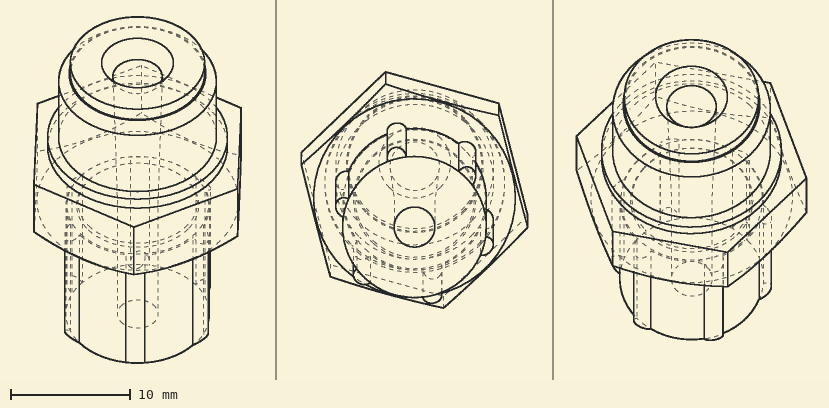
import cadquery as cq
import math

TOTAL_HEIGHT = 28.8
GRIP_TOP = 12.5
HEX_BOTTOM = 13.0
HEX_TOP = 19.25
COLLAR_TOP = 20.28
TAPER_BOTTOM = 26.73
TAPER_TOP = 27.62

HEX_ACROSS_FLATS = 17.0
HEX_ACROSS_CORNERS = HEX_ACROSS_FLATS / math.cos(math.pi / 6)
HEX_FACE_DIAMETER = 16.82
HEX_CHAMFER_ANGLE = math.radians(30)
ENVELOPE_MARGIN = 0.58

COLLAR_DIAMETER = 15.0
SHANK_DIAMETER = 13.15
TAPER_TOP_DIAMETER = 11.4
NOSE_DIAMETER = 11.2

GRIP_DIAMETER = 11.98
RIB_COUNT = 6
RIB_RADIUS = 0.8
GRIP_TOP_EDGE = 0.1

NECK_DIAMETER = 10.0
NECK_TOP_DIAMETER = 10.6
NECK_BOTTOM_DIAMETER = 10.2
NECK_WAIST_HEIGHT = 12.6

BORE_DIAMETER = 3.4
BORE_TAPER_DIAMETER = 4.12
MOUTH_DIAMETER = 6.0
MOUTH_DEPTH = 1.55
BORE_TAPER_END = HEX_BOTTOM


def revolve(profile):
    """Turn a closed radius-height profile about the Z axis."""
    return profile.close().revolve(360, (0, 0, 0), (0, 1, 0))


def make_grip():
    """Cylinder with half-round ribs, bevelled at 45 degrees at both ends."""
    grip_radius = GRIP_DIAMETER / 2
    outer_radius = grip_radius + RIB_RADIUS + ENVELOPE_MARGIN
    top_radius = grip_radius - GRIP_TOP_EDGE
    grip = cq.Workplane("XY").circle(grip_radius).extrude(GRIP_TOP)
    ribs = (
        cq.Workplane("XY")
        .polarArray(grip_radius, 90, 360, RIB_COUNT)
        .circle(RIB_RADIUS)
        .extrude(GRIP_TOP)
    )
    envelope = revolve(
        cq.Workplane("XZ")
        .lineTo(grip_radius, 0)
        .lineTo(outer_radius, outer_radius - grip_radius)
        .lineTo(outer_radius, GRIP_TOP - (outer_radius - top_radius))
        .lineTo(top_radius, GRIP_TOP)
        .lineTo(0, GRIP_TOP)
    )
    return grip.union(ribs).intersect(envelope)


def make_hexagon():
    """Hexagon whose lower corners are cut by a cone."""
    face_radius = HEX_FACE_DIAMETER / 2
    outer_radius = HEX_ACROSS_CORNERS / 2 + ENVELOPE_MARGIN
    cone_height = (outer_radius - face_radius) * math.tan(HEX_CHAMFER_ANGLE)
    hexagon = (
        cq.Workplane("XY")
        .workplane(offset=HEX_BOTTOM)
        .transformed(rotate=(0, 0, 90))
        .polygon(6, HEX_ACROSS_CORNERS)
        .extrude(HEX_TOP - HEX_BOTTOM)
    )
    envelope = revolve(
        cq.Workplane("XZ")
        .moveTo(0, HEX_BOTTOM)
        .lineTo(face_radius, HEX_BOTTOM)
        .lineTo(outer_radius, HEX_BOTTOM + cone_height)
        .lineTo(outer_radius, HEX_TOP)
        .lineTo(0, HEX_TOP)
    )
    return hexagon.intersect(envelope)


def make_spindle():
    """Turned core from the neck up through the hexagon to the nose."""
    return revolve(
        cq.Workplane("XZ")
        .moveTo(0, GRIP_TOP)
        .lineTo(NECK_BOTTOM_DIAMETER / 2, GRIP_TOP)
        .threePointArc(
            (NECK_DIAMETER / 2, NECK_WAIST_HEIGHT),
            (NECK_TOP_DIAMETER / 2, HEX_BOTTOM),
        )
        .lineTo(NECK_TOP_DIAMETER / 2, HEX_TOP)
        .lineTo(COLLAR_DIAMETER / 2, HEX_TOP)
        .lineTo(COLLAR_DIAMETER / 2, COLLAR_TOP)
        .lineTo(SHANK_DIAMETER / 2, COLLAR_TOP)
        .lineTo(SHANK_DIAMETER / 2, TAPER_BOTTOM)
        .lineTo(TAPER_TOP_DIAMETER / 2, TAPER_TOP)
        .lineTo(NOSE_DIAMETER / 2, TAPER_TOP)
        .lineTo(NOSE_DIAMETER / 2, TOTAL_HEIGHT)
        .lineTo(0, TOTAL_HEIGHT)
    )


def make_bore():
    """Through bore, gently tapered below a conical mouth."""
    return revolve(
        cq.Workplane("XZ")
        .lineTo(BORE_DIAMETER / 2, 0)
        .lineTo(BORE_DIAMETER / 2, BORE_TAPER_END)
        .lineTo(BORE_TAPER_DIAMETER / 2, TOTAL_HEIGHT - MOUTH_DEPTH)
        .lineTo(MOUTH_DIAMETER / 2, TOTAL_HEIGHT)
        .lineTo(0, TOTAL_HEIGHT)
    )


body = make_spindle().union(make_hexagon()).union(make_grip())
result = body.cut(make_bore())